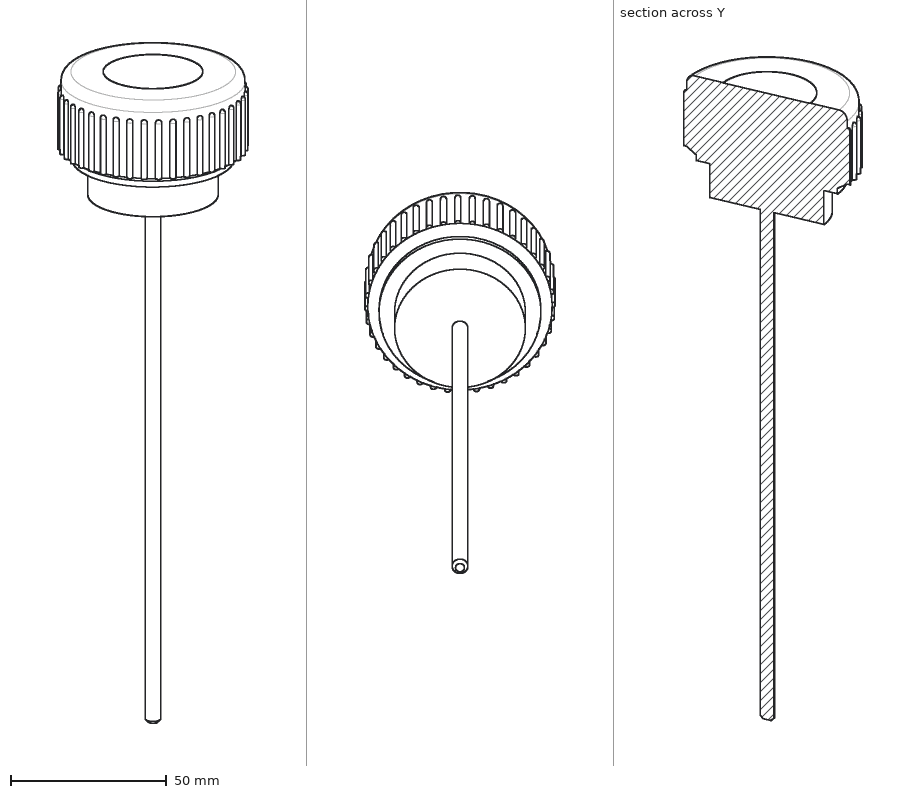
import cadquery as cq

HEIGHT = 222.0

CAP_DIAMETER = 59.0
CAP_TOP_FILLET = 3.0
CAP_EDGE_DEPTH = 25.8
TAPER_DEPTH = 28.0

FLANGE_DIAMETER = 52.0
FLANGE_DEPTH = 30.0
NECK_DIAMETER = 42.0
NECK_DEPTH = 42.0

RIB_COUNT = 40
RIB_RADIUS = 1.0
RIB_TOP_DEPTH = 5.8

PANEL_DIAMETER = 32.0
PANEL_DEPTH = 0.1

ROD_DIAMETER = 5.0
ROD_TIP_CHAMFER = 1.0


def disc(diameter, bottom_depth, top_depth):
    """Round disc between two depths measured down from the cap top."""
    return (
        cq.Workplane("XY")
        .workplane(offset=HEIGHT - bottom_depth)
        .circle(diameter / 2)
        .extrude(bottom_depth - top_depth)
    )


def make_cap():
    """Cap wall, taper and flange."""
    wall = disc(CAP_DIAMETER, CAP_EDGE_DEPTH, 0).faces(">Z").edges().fillet(CAP_TOP_FILLET)
    taper = (
        cq.Workplane("XY")
        .workplane(offset=HEIGHT - CAP_EDGE_DEPTH)
        .circle(CAP_DIAMETER / 2)
        .workplane(offset=CAP_EDGE_DEPTH - TAPER_DEPTH)
        .circle(FLANGE_DIAMETER / 2)
        .loft()
    )
    flange = disc(FLANGE_DIAMETER, FLANGE_DEPTH, TAPER_DEPTH)
    return wall.union(taper).union(flange)


def make_ribs():
    """Ring of half-round grip ribs with domed upper ends."""
    straight_length = CAP_EDGE_DEPTH - RIB_TOP_DEPTH - RIB_RADIUS
    dome = cq.Workplane("XY").sphere(RIB_RADIUS).translate((0, 0, straight_length))
    rib = cq.Workplane("XY").circle(RIB_RADIUS).extrude(straight_length).union(dome).val()
    return (
        cq.Workplane("XY")
        .workplane(offset=HEIGHT - CAP_EDGE_DEPTH)
        .polarArray(CAP_DIAMETER / 2, 0, 360, RIB_COUNT)
        .eachpoint(lambda place: rib.moved(place))
    )


def make_rod():
    """Rod running from the neck down to its chamfered tip."""
    return disc(ROD_DIAMETER, HEIGHT, NECK_DEPTH).faces("<Z").edges().chamfer(ROD_TIP_CHAMFER)


neck = disc(NECK_DIAMETER, NECK_DEPTH, FLANGE_DEPTH)
panel = disc(PANEL_DIAMETER, PANEL_DEPTH, 0)
result = make_cap().union(make_ribs()).union(neck).union(make_rod()).cut(panel)